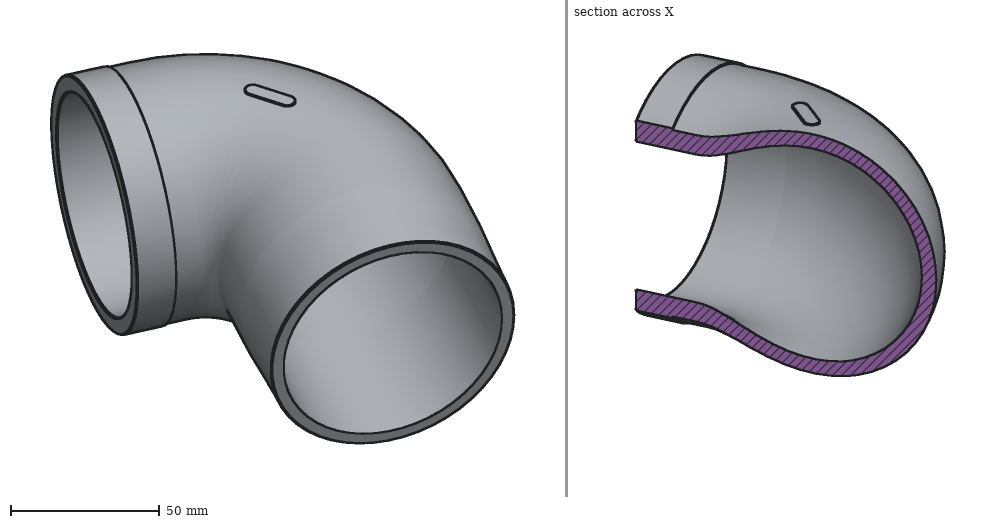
import cadquery as cq

pipe_diameter = 88.9
bore_diameter = 77.8
bend_radius = 49.5
bend_start = 22.9

collar_diameter = 89.9
collar_length = 14.0

outlet_straight = 20.9
outlet_taper = 29.7
spigot_diameter = 86.8
rim_chamfer = 0.5

pad_length = 18.5
pad_width = 5.7
pad_height = 0.3
pad_chamfer = 0.3
pad_angle = 45

outlet_start = bend_radius
outlet_y = bend_start + bend_radius
outlet_end = outlet_start + outlet_straight + outlet_taper
pad_distance = bend_radius * 0.5 ** 0.5


def inlet_cylinder(diameter, length):
    """Cylinder along +Y from the inlet mouth."""
    return cq.Workplane("XZ").circle(diameter / 2).extrude(-length)


def bend(diameter):
    """Solid quarter torus that joins the inlet to the outlet."""
    return (
        cq.Workplane("XZ", origin=(0, bend_start, 0))
        .circle(diameter / 2)
        .revolve(90, (bend_radius, 0, 0), (bend_radius, -1, 0))
    )


def outlet_cylinder(diameter, length):
    """Cylinder along +X from the end of the bend."""
    return cq.Workplane("YZ", origin=(outlet_start, outlet_y, 0)).circle(diameter / 2).extrude(length)


def collar():
    """Thicker band at the inlet mouth, with a bevelled rim."""
    return inlet_cylinder(collar_diameter, collar_length).faces("<Y").chamfer(rim_chamfer)


def spigot():
    """Tapered outlet end, with a bevelled rim."""
    taper_start = outlet_start + outlet_straight
    return (
        cq.Workplane("YZ", origin=(taper_start, outlet_y, 0))
        .circle(pipe_diameter / 2)
        .workplane(offset=outlet_taper)
        .circle(spigot_diameter / 2)
        .loft()
        .faces(">X")
        .chamfer(rim_chamfer)
    )


def pad():
    """Flat-topped slot-shaped pad with a bevelled rim, rooted in the pipe wall over the bend centreline."""
    root = (pipe_diameter + bore_diameter) / 4
    centre = (bend_radius - pad_distance, bend_start + pad_distance, root)
    return (
        cq.Workplane("XY", origin=centre)
        .slot2D(pad_length, pad_width, pad_angle)
        .extrude(pipe_diameter / 2 + pad_height - root)
        .faces(">Z")
        .chamfer(pad_chamfer)
    )


def mouth_bevel():
    """Cone that bevels the inner edge of the inlet mouth."""
    return (
        cq.Workplane("XZ")
        .circle(bore_diameter / 2 + rim_chamfer)
        .workplane(offset=-rim_chamfer)
        .circle(bore_diameter / 2)
        .loft()
    )


outer = (
    inlet_cylinder(pipe_diameter, bend_start)
    .union(bend(pipe_diameter))
    .union(outlet_cylinder(pipe_diameter, outlet_straight))
    .union(spigot())
    .union(collar())
    .union(pad())
)

bore = (
    inlet_cylinder(bore_diameter, bend_start)
    .union(bend(bore_diameter))
    .union(outlet_cylinder(bore_diameter, outlet_end - outlet_start))
)

result = outer.cut(bore).cut(mouth_bevel())